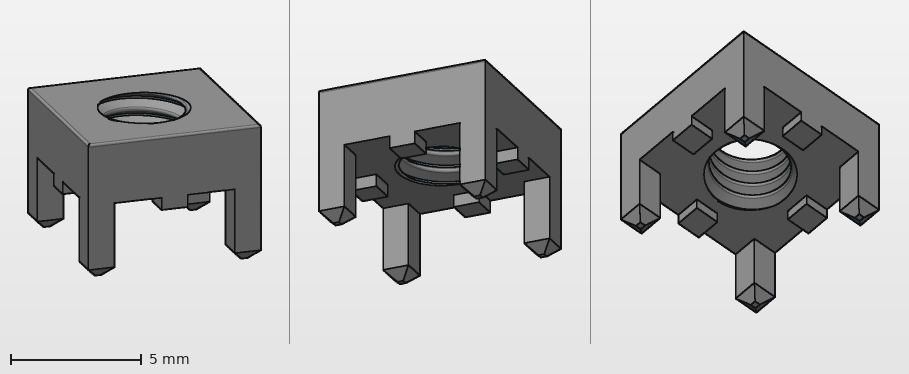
import cadquery as cq
import math

body_side = 7.0
body_height = 2.5
top_edge_round = 0.1
half_side = body_side / 2

leg_side = 1.07
leg_length = 3.0
leg_tip_chamfer = 0.41

pad_side = 1.06
pad_height = 0.5
pad_count = 4

thread_pitch = 0.7
thread_major_diameter = 4.0
thread_major_radius = thread_major_diameter / 2
flank_angle = math.radians(30)
sharp_height = thread_pitch / 2 / math.tan(flank_angle)
root_flat = thread_pitch / 8
crest_round = sharp_height / 6

ridge_root_half_width = (thread_pitch - root_flat) / 2
ridge_tangent_half_width = crest_round * math.cos(flank_angle)
flank_depth = (ridge_root_half_width - ridge_tangent_half_width) / math.tan(flank_angle)
tangent_radius = thread_major_radius - flank_depth
crest_radius = tangent_radius - crest_round * (1 - math.sin(flank_angle))
ridge_overlap = 0.1
ridge_base_radius = thread_major_radius + ridge_overlap

top_crest_height = body_height - ridge_root_half_width
turns_below_top = 5
turns_above_top = 2


def make_block():
    return cq.Workplane("XY").box(body_side, body_side, body_height, centered=(True, True, False))


def make_body():
    return make_block().faces(">Z").edges().fillet(top_edge_round)


def make_legs():
    corner = half_side - leg_side / 2
    return (
        cq.Workplane("XY")
        .rect(2 * corner, 2 * corner, forConstruction=True)
        .vertices()
        .rect(leg_side, leg_side)
        .extrude(-leg_length)
        .faces("<Z")
        .edges()
        .chamfer(leg_tip_chamfer)
    )


def make_pads():
    offset = half_side - pad_side / 2
    return (
        cq.Workplane("XY")
        .polarArray(offset, 0, 360, pad_count)
        .rect(pad_side, pad_side)
        .extrude(-pad_height)
    )


def make_thread_ridge():
    """Helical ridge with a rounded crest, trimmed to the body height."""
    start_height = top_crest_height - turns_below_top * thread_pitch
    helix_height = (turns_below_top + turns_above_top) * thread_pitch
    path = cq.Wire.makeHelix(thread_pitch, helix_height, thread_major_radius)
    ridge = (
        cq.Workplane("XZ")
        .moveTo(ridge_base_radius, -ridge_root_half_width)
        .lineTo(thread_major_radius, -ridge_root_half_width)
        .lineTo(tangent_radius, -ridge_tangent_half_width)
        .threePointArc((crest_radius, 0), (tangent_radius, ridge_tangent_half_width))
        .lineTo(thread_major_radius, ridge_root_half_width)
        .lineTo(ridge_base_radius, ridge_root_half_width)
        .close()
        .sweep(path, isFrenet=True)
        .translate((0, 0, start_height))
    )
    return make_block().intersect(ridge)


hole = cq.Workplane("XY").circle(thread_major_radius).extrude(body_height)
body = make_body().cut(hole).union(make_thread_ridge())
result = body.union(make_legs()).union(make_pads())